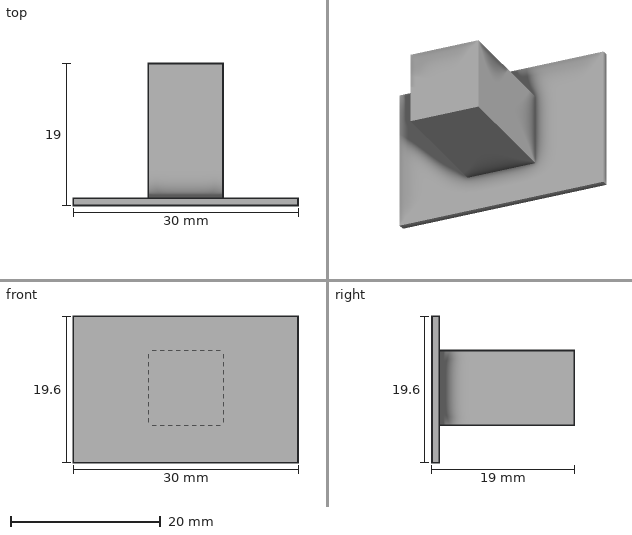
import cadquery as cq

plate_width = 30.0
plate_thickness = 1.0
plate_height = 19.6

post_side = 10.0
post_length = 18.0
post_bottom = 5.0


def make_plate():
    return cq.Workplane("XY").box(
        plate_width, plate_thickness, plate_height, centered=(True, False, False)
    )


def make_post():
    return (
        cq.Workplane("XY")
        .box(post_side, post_length, post_side, centered=(True, False, False))
        .translate((0, plate_thickness, post_bottom))
    )


result = make_plate().union(make_post())